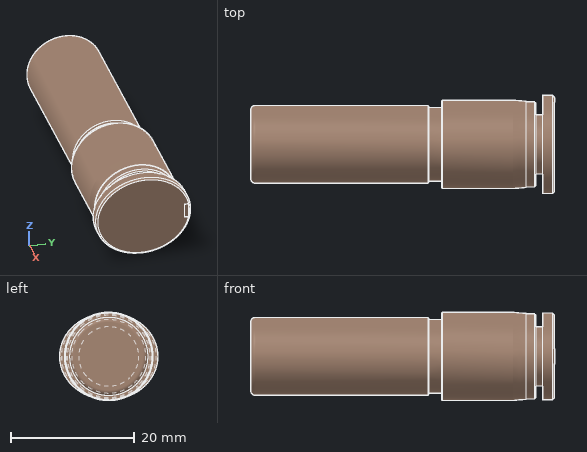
import cadquery as cq


overall_length = 49.4

plug_diameter = 12.7
plug_nose_radius = 0.8
plug_end_x = 29.0
plug_end_chamfer = 0.2
groove_diameter = 12.0
collar_start_x = 31.0
collar_diameter = 14.4
collar_chamfer = 0.15
taper_start_x = 42.6
taper_end_x = 44.7
taper_end_diameter = 14.05
mouth_diameter = 13.9
mouth_chamfer = 0.25
body_end_x = 46.3

neck_diameter = 9.7
flange_start_x = 47.4
flange_width_y = 16.0
flange_height_z = 14.1
flange_chamfer = 0.3

mark_height = 0.1
mark_length_y = 0.7
mark_width_z = 2.4
mark_center_y = 7.2
flange_end_x = overall_length - mark_height


def make_body():
    plug_r = plug_diameter / 2
    groove_r = groove_diameter / 2
    collar_r = collar_diameter / 2
    mouth_r = mouth_diameter / 2
    nose_corner = plug_nose_radius * (1 - 0.5 ** 0.5)
    return (
        cq.Workplane("XY")
        .moveTo(0, 0)
        .lineTo(0, plug_r - plug_nose_radius)
        .threePointArc((nose_corner, plug_r - nose_corner), (plug_nose_radius, plug_r))
        .lineTo(plug_end_x - plug_end_chamfer, plug_r)
        .lineTo(plug_end_x, groove_r)
        .lineTo(collar_start_x, groove_r)
        .lineTo(collar_start_x, collar_r - collar_chamfer)
        .lineTo(collar_start_x + collar_chamfer, collar_r)
        .lineTo(taper_start_x, collar_r)
        .lineTo(taper_end_x, taper_end_diameter / 2)
        .lineTo(taper_end_x, mouth_r)
        .lineTo(body_end_x - mouth_chamfer, mouth_r)
        .lineTo(body_end_x, mouth_r - mouth_chamfer)
        .lineTo(body_end_x, 0)
        .close()
        .revolve(360, (0, 0, 0), (1, 0, 0))
    )


def make_button():
    neck = (
        cq.Workplane("YZ", origin=(body_end_x, 0, 0))
        .circle(neck_diameter / 2)
        .extrude(flange_start_x - body_end_x)
    )
    flange = (
        cq.Workplane("YZ", origin=(flange_start_x, 0, 0))
        .ellipse(flange_width_y / 2, flange_height_z / 2)
        .extrude(flange_end_x - flange_start_x)
        .faces(">X")
        .chamfer(flange_chamfer)
    )
    mark = (
        cq.Workplane("YZ", origin=(flange_end_x, mark_center_y, 0))
        .rect(mark_length_y, mark_width_z)
        .extrude(mark_height)
    )
    return neck.union(flange).union(mark)


body = make_body()
button = make_button()

result = cq.Compound.makeCompound([body.val(), button.val()])